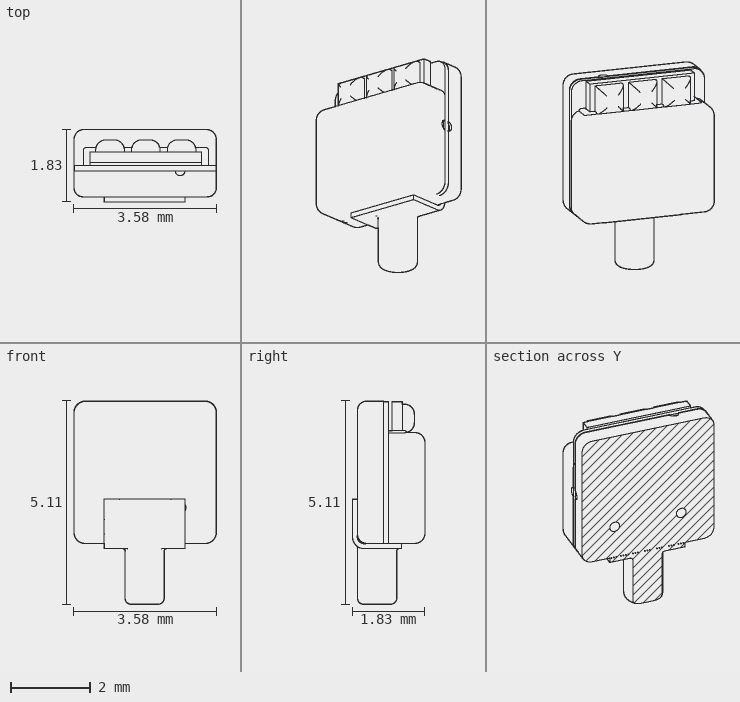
import cadquery as cq

OVERLAP = 0.05
MARGIN = 0.05

HOUSING_SIZE = 3.58
HOUSING_DEPTH = 1.7
CORNER_RADIUS = 0.28
COVER_DEPTH = 0.66
COVER_EDGE_RADIUS = 0.235
PLATE_THICKNESS = 0.13
PLATE_TOP_DROP = 0.015
PLATE_SIDE_INSET = 0.005
CASE_HEIGHT = 2.795
CASE_EDGE_RADIUS = 0.26
CASE_FRONT = COVER_DEPTH + PLATE_THICKNESS

COLLAR_X = 0.015
COLLAR_WIDTH = 3.16
COLLAR_BACK = 1.245
COLLAR_RISE = 0.045
COLLAR_SIDE_RADIUS = 0.09
COLLAR_BACK_RADIUS = 0.065
COLLAR_ROOT = 0.205
COLLAR_TOP = CASE_HEIGHT + COLLAR_RISE

BOARD_WIDTH = 2.8
BOARD_FRONT = 0.87
BOARD_BACK = 1.13
BOARD_TOP = 3.565
LENS_COUNT = 3
LENS_SIZE = 0.72
LENS_PITCH = 0.9
LENS_BACK = 1.435
LENS_TOP = 3.505
LENS_DOME_RADIUS = 0.255

SCREW_HOLE_X = 0.9
SCREW_HOLE_Z = 0.905
SCREW_HOLE_RADIUS = 0.13
SCREW_MOUTH_RADIUS = 0.195

NOTCH_RADIUS = 0.125
NOTCH_DEPTH = 0.06
SIDE_NOTCH_Z = HOUSING_SIZE / 2
TOP_NOTCH_X = 0.88

STRAP_X = -0.015
STRAP_WIDTH = 2.035
STRAP_THICKNESS = 0.13
STRAP_TOP = 1.12
STRAP_BACK = 1.115
STRAP_OUTER_RADIUS = 0.3
STUD_DIAMETER = 0.99
STUD_LENGTH = 1.53
STUD_END_RADIUS = 0.16
STUD_NECK_RADIUS = 0.06


def rounded_slab(width, height, front, back):
    """Upright slab standing on Z = 0, with rounded corners seen along Y."""
    slab = cq.Workplane("XY").box(width, back - front, height, centered=(True, False, False))
    return slab.translate((0, front, 0)).edges("|Y").fillet(CORNER_RADIUS)


def make_housing():
    cover = rounded_slab(HOUSING_SIZE, HOUSING_SIZE, 0, COVER_DEPTH)
    cover = cover.faces("<Y").edges().fillet(COVER_EDGE_RADIUS)
    case = rounded_slab(HOUSING_SIZE, CASE_HEIGHT, CASE_FRONT, HOUSING_DEPTH)
    case = case.faces(">Y").edges().fillet(CASE_EDGE_RADIUS)
    cover = cut_screw_holes(cover)
    cover, case = cut_notches(cover, case)
    plate = rounded_slab(
        HOUSING_SIZE - 2 * PLATE_SIDE_INSET, HOUSING_SIZE - PLATE_TOP_DROP, COVER_DEPTH, CASE_FRONT
    )
    return cover.union(plate).union(case)


def cut_screw_holes(cover):
    """Holes through the cover whose mouths flare out in a quarter round."""
    mouth_edge = SCREW_HOLE_RADIUS + SCREW_MOUTH_RADIUS
    profile = (
        cq.Workplane("XY")
        .lineTo(mouth_edge, 0)
        .radiusArc((SCREW_HOLE_RADIUS, SCREW_MOUTH_RADIUS), SCREW_MOUTH_RADIUS)
        .lineTo(SCREW_HOLE_RADIUS, COVER_DEPTH)
        .lineTo(0, COVER_DEPTH)
        .close()
    )
    cutter = profile.revolve(360, (0, 0, 0), (0, 1, 0))
    for x in (-SCREW_HOLE_X, SCREW_HOLE_X):
        cover = cover.cut(cutter.translate((x, 0, SCREW_HOLE_Z)))
    return cover


def cut_notches(cover, case):
    """Notches in the -X wall beside the seal plate, and one in the top of the cover."""
    side = cq.Workplane("YZ").circle(NOTCH_RADIUS).extrude(NOTCH_DEPTH)
    side = side.translate((-HOUSING_SIZE / 2, 0, SIDE_NOTCH_Z))
    top = cq.Workplane("XY").circle(NOTCH_RADIUS).extrude(-NOTCH_DEPTH)
    top = top.translate((TOP_NOTCH_X, COVER_DEPTH, HOUSING_SIZE))
    cover = cover.cut(side.translate((0, COVER_DEPTH, 0))).cut(top)
    case = case.cut(side.translate((0, CASE_FRONT, 0)))
    return cover, case


def make_collar():
    """Collar with rounded top edges, slotted in front of the board down to the case top."""
    height = COLLAR_RISE + COLLAR_ROOT
    collar = cq.Workplane("XY").box(
        COLLAR_WIDTH, COLLAR_BACK - CASE_FRONT, height, centered=(True, False, False)
    )
    collar = collar.edges("|Y and >Z").fillet(COLLAR_SIDE_RADIUS)
    collar = collar.faces(">Y").edges("not <Z").fillet(COLLAR_BACK_RADIUS)
    slot = cq.Workplane("XY").box(
        BOARD_WIDTH, BOARD_FRONT - CASE_FRONT, COLLAR_RISE, centered=(True, False, False)
    )
    collar = collar.cut(slot.translate((0, 0, COLLAR_ROOT)))
    return collar.translate((COLLAR_X, CASE_FRONT, COLLAR_TOP - height))


def make_board():
    bottom = COLLAR_TOP - OVERLAP
    board = cq.Workplane("XY").box(
        BOARD_WIDTH, BOARD_BACK - BOARD_FRONT, BOARD_TOP - bottom, centered=(True, False, False)
    )
    return board.translate((COLLAR_X, BOARD_FRONT, bottom))


def make_lenses():
    """Row of square lenses, each with its four rear edges rounded into a dome."""
    lens = cq.Workplane("XY").box(
        LENS_SIZE, LENS_BACK - BOARD_BACK, LENS_SIZE, centered=(True, False, False)
    )
    lens = lens.faces(">Y").edges().fillet(LENS_DOME_RADIUS)
    row = cq.Workplane("XY")
    for i in range(LENS_COUNT):
        x = COLLAR_X + (i - (LENS_COUNT - 1) / 2) * LENS_PITCH
        row = row.add(lens.translate((x, BOARD_BACK, LENS_TOP - LENS_SIZE)))
    return row.combine()


def make_strap_and_stud():
    """L-shaped strap under the housing, with the stud flaring into its underside."""
    inner_radius = STRAP_OUTER_RADIUS - STRAP_THICKNESS
    strap = (
        cq.Workplane("YZ")
        .moveTo(-STRAP_THICKNESS, STRAP_TOP)
        .lineTo(-STRAP_THICKNESS, inner_radius)
        .radiusArc((inner_radius, -STRAP_THICKNESS), -STRAP_OUTER_RADIUS)
        .lineTo(STRAP_BACK, -STRAP_THICKNESS)
        .lineTo(STRAP_BACK, 0)
        .lineTo(inner_radius, 0)
        .radiusArc((0, inner_radius), inner_radius)
        .lineTo(0, STRAP_TOP)
        .close()
        .extrude(STRAP_WIDTH / 2, both=True)
    )
    stud_radius = STUD_DIAMETER / 2
    stud = cq.Workplane("XY").center(0, stud_radius).circle(stud_radius).extrude(-STUD_LENGTH)
    stud = stud.faces("<Z").edges().fillet(STUD_END_RADIUS)
    fitting = strap.union(stud)
    neck = cq.selectors.BoxSelector(
        (-stud_radius - MARGIN, -MARGIN, -STRAP_THICKNESS - MARGIN),
        (stud_radius + MARGIN, STUD_DIAMETER + MARGIN, -MARGIN),
        boundingbox=True,
    )
    fitting = fitting.edges(neck).fillet(STUD_NECK_RADIUS)
    return fitting.translate((STRAP_X, 0, 0))


result = (
    make_housing()
    .union(make_collar())
    .union(make_board())
    .union(make_lenses())
    .union(make_strap_and_stud())
)